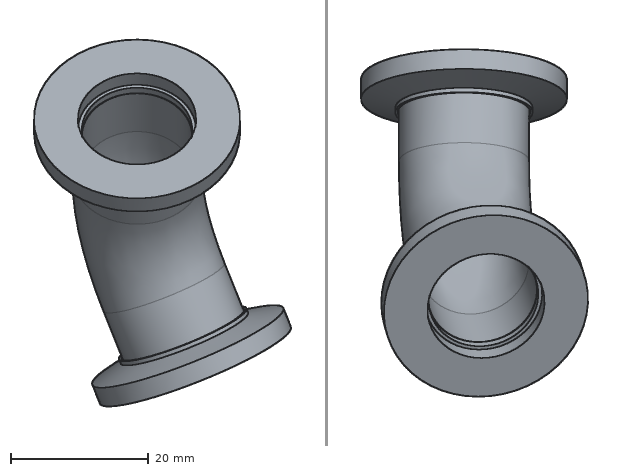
import cadquery as cq
import math

overall_height = 50.05
bend_angle = 45.0
leg_length = 12.5

flange_diameter = 30.0
rim_thickness = 3.0
back_taper_angle = 15.0
collar_diameter = 20.0
flange_depth = 5.0
recess_diameter = 17.2
recess_depth = 2.6
throat_diameter = 16.1
socket_diameter = 19.3
socket_start = 3.85

tube_outer_diameter = 19.0
tube_inner_diameter = 16.0

bend_sin = math.sin(math.radians(bend_angle))
bend_cos = math.cos(math.radians(bend_angle))
lower_leg_drop = leg_length * bend_cos + flange_diameter / 2 * bend_sin
bend_radius = (overall_height - leg_length - lower_leg_drop) / bend_sin

bend_center = cq.Vector(bend_radius, 0, -leg_length)
half_angle = math.radians(bend_angle / 2)
bend_middle = bend_center - cq.Vector(math.cos(half_angle), 0, math.sin(half_angle)) * bend_radius


def make_flange():
    """Flange with a tapered back, a recessed face and a stepped bore, face on Z = 0."""
    taper_depth = (flange_diameter - collar_diameter) / 2 * math.tan(math.radians(back_taper_angle))
    return (
        cq.Workplane("XZ")
        .moveTo(recess_diameter / 2, 0)
        .lineTo(flange_diameter / 2, 0)
        .lineTo(flange_diameter / 2, -rim_thickness)
        .lineTo(collar_diameter / 2, -rim_thickness - taper_depth)
        .lineTo(collar_diameter / 2, -flange_depth)
        .lineTo(socket_diameter / 2, -flange_depth)
        .lineTo(socket_diameter / 2, -socket_start)
        .lineTo(throat_diameter / 2, -socket_start)
        .lineTo(throat_diameter / 2, -recess_depth)
        .lineTo(recess_diameter / 2, -recess_depth)
        .close()
        .revolve(360, (0, 0, 0), (0, 1, 0))
    )


def make_tube():
    """Bent pipe whose ends rest on the socket shoulders of the two flanges."""
    straight = leg_length - socket_start
    bend_end = (bend_radius * (1 - bend_cos), -leg_length - bend_radius * bend_sin)
    path = (
        cq.Workplane("XZ")
        .moveTo(0, -socket_start)
        .lineTo(0, -leg_length)
        .threePointArc((bend_middle.x, bend_middle.z), bend_end)
        .line(straight * bend_sin, -straight * bend_cos)
    )
    return (
        cq.Workplane("XY", origin=(0, 0, -socket_start))
        .circle(tube_outer_diameter / 2)
        .circle(tube_inner_diameter / 2)
        .sweep(path)
    )


tube = make_tube()

flanges = []
for turn in (0, 180):
    flanges.append(make_flange().val().rotate(bend_center, bend_middle, turn))

result = cq.Compound.makeCompound([tube.val(), *flanges])